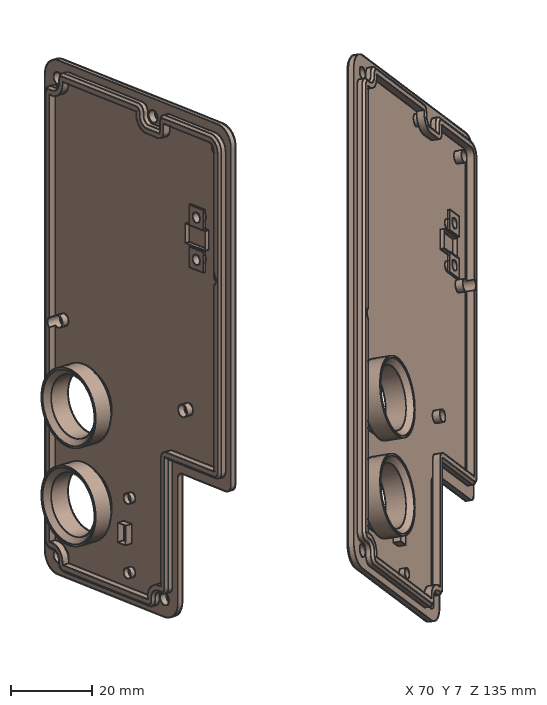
import cadquery as cq


width = 70.0
height = 135.0
leg_width = 50.1
step_height = 39.4
plate_thickness = 2.0
corner_radius = 5.0
tab_radius = 2.0
inner_corner_radius = 1.5
back_chamfer = 0.5

rim_front = 4.0
rim_width = 2.0
rim_margin = 2.0
rim_top_right_margin = 2.4
rim_step_margin = 3.1
rim_chamfer = 0.7
rim_radius = 2.0
rim_top_right_radius = 4.0
floor_thickness = plate_thickness

screw_diameter = 3.2
screw_inset_x = corner_radius
screw_inset_z = 4.7
top_screw_x = 40.8
corner_screws = [
    (screw_inset_x, screw_inset_z),
    (leg_width - screw_inset_x, screw_inset_z),
    (screw_inset_x, height - screw_inset_z),
]
top_screw = (top_screw_x, height - screw_inset_z)
floor_screws = [(64.4, 128.5), (65.2, 94.9), (screw_inset_x, 66.4), (51.8, 56.0)]

screw_clearance = 2.0
top_notch_right = 45.0

ring_x = 14.7
ring_heights = [21.9, 47.7]
ring_outer_diameter = 20.5
ring_bore_diameter = 16.5
ring_front = 7.0
ring_chamfer = 1.5

pin_diameter = 2.7
pin_depth = 1.5
pin_x = 31.0
pin_heights = [7.5, 27.1]
slot_width = 3.0
slot_height = 5.1
slot_center = (28.9, 17.3)

latch_right = 60.3
latch_center_z = 103.0
pad_size = 5.4
pad_height = 0.5
pad_spacing = 11.1
pocket_width = 7.4
pocket_height = 5.1
pocket_depth = 1.2


def front_plane(depth):
    """Sketch plane facing -Y, the given distance in front of the back face."""
    return cq.Workplane("XZ", origin=(0, -depth, 0))


def prism(outline, start, end):
    """Extrude a closed outline of (x, z) points between two depths."""
    return front_plane(start).polyline(outline).close().extrude(end - start)


def round_edge(body, point, radius):
    """Round the edge along Y that passes nearest to the (x, z) point."""
    x, z = point
    nearest = cq.selectors.NearestToPointSelector((x, body.val().Center().y, z))
    return body.edges("|Y").edges(nearest).fillet(radius)


def cylinders(points, diameter, start, end):
    return front_plane(start).pushPoints(points).circle(diameter / 2).extrude(end - start)


def block(center, size_x, size_z, start, end):
    return front_plane(start).center(*center).rect(size_x, size_z).extrude(end - start)


def make_plate():
    outline = [
        (0, 0),
        (leg_width, 0),
        (leg_width, step_height),
        (width, step_height),
        (width, height),
        (0, height),
    ]
    radii = [corner_radius, corner_radius, inner_corner_radius, tab_radius, corner_radius, corner_radius]
    plate = prism(outline, 0, plate_thickness)
    for point, radius in zip(outline, radii):
        plate = round_edge(plate, point, radius)
    return plate.faces(">Y").edges().chamfer(back_chamfer)


def make_rim_body():
    """Solid inside the outer wall of the rim, stepping around the edge screws."""
    left = rim_margin
    bottom = rim_margin
    top = height - rim_margin
    top_right = height - rim_top_right_margin
    right = width - rim_margin
    leg_right = leg_width - rim_margin
    step = step_height + rim_step_margin
    notch_x = screw_inset_x + screw_clearance
    notch_leg_x = leg_width - notch_x
    notch_bottom = screw_inset_z + screw_clearance
    notch_top = height - notch_bottom
    top_notch_left = top_screw_x - screw_clearance

    corners = [
        (left, notch_bottom, rim_radius),
        (notch_x, notch_bottom, screw_clearance),
        (notch_x, bottom, rim_radius),
        (notch_leg_x, bottom, rim_radius),
        (notch_leg_x, notch_bottom, screw_clearance),
        (leg_right, notch_bottom, rim_radius),
        (leg_right, step, 0),
        (right, step, rim_radius),
        (right, top_right, rim_top_right_radius),
        (top_notch_right, top_right, rim_radius),
        (top_notch_right, notch_top, 0),
        (top_notch_left, notch_top, screw_clearance),
        (top_notch_left, top, rim_radius),
        (notch_x, top, rim_radius),
        (notch_x, notch_top, screw_clearance),
        (left, notch_top, rim_radius),
    ]
    body = prism([(x, z) for x, z, _ in corners], 0, rim_front)
    for x, z, radius in corners:
        if radius > 0:
            body = round_edge(body, (x, z), radius)
    return body


def make_cover():
    """Plate with the chamfered rim and the floor recessed inside it."""
    rim_body = make_rim_body()
    rim_outline = rim_body.faces("<Y").wires().val()
    recess = front_plane(rim_front).add(rim_outline).toPending()
    recess = recess.offset2D(-rim_width).extrude(floor_thickness - rim_front)
    rim = rim_body.faces("<Y").edges().chamfer(rim_chamfer)
    return make_plate().union(rim).cut(recess)


def add_rings(body):
    centers = [(ring_x, z) for z in ring_heights]
    rings = cylinders(centers, ring_outer_diameter, 0, ring_front)
    bores = cylinders(centers, ring_bore_diameter, 0, ring_front)
    bore_edges = cq.selectors.RadiusNthSelector(0)
    rings = rings.cut(bores).faces("<Y").edges(bore_edges).chamfer(ring_chamfer)
    return body.cut(bores).union(rings)


def add_latch(body):
    pad_x = latch_right - pad_size / 2
    pad_centers = [(pad_x, latch_center_z + side * pad_spacing / 2) for side in (-1, 1)]
    pad_front = floor_thickness + pad_height
    for center in pad_centers:
        body = body.union(block(center, pad_size, pad_size, 0, pad_front))
    pocket_center = (latch_right - pocket_width / 2, latch_center_z)
    body = body.cut(
        block(pocket_center, pocket_width, pocket_height, floor_thickness - pocket_depth, pad_front)
    )
    return body.cut(cylinders(pad_centers, pin_diameter, floor_thickness - pin_depth, pad_front))


def cut_holes(body):
    screws = corner_screws + [top_screw] + floor_screws
    body = body.cut(cylinders(screws, screw_diameter, 0, rim_front))
    body = body.cut(block(slot_center, slot_width, slot_height, 0, floor_thickness))
    pins = [(pin_x, z) for z in pin_heights]
    return body.cut(cylinders(pins, pin_diameter, floor_thickness - pin_depth, floor_thickness))


result = cut_holes(add_latch(add_rings(make_cover())))